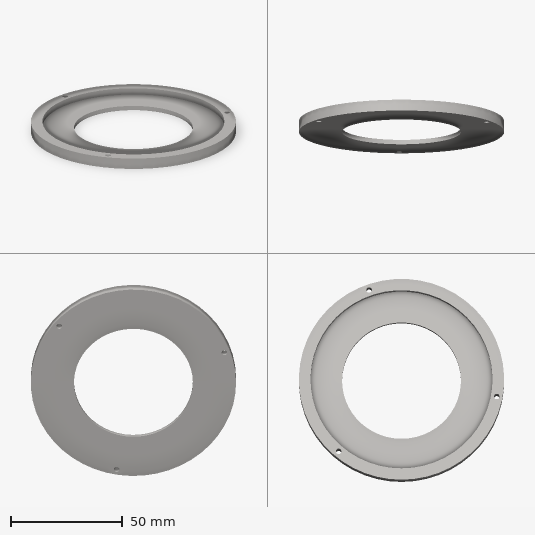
import cadquery as cq

outer_diameter = 92.0
height = 5.0
recess_diameter = 81.6
floor_thickness = 2.0
bore_diameter = 53.3
screw_hole_diameter = 2.5
screw_hole_count = 3
first_hole_angle = -90.0

hole_circle_radius = (outer_diameter + recess_diameter) / 4

ring = (
    cq.Workplane("XY")
    .circle(outer_diameter / 2)
    .circle(bore_diameter / 2)
    .extrude(height)
)

recess = (
    cq.Workplane("XY")
    .workplane(offset=floor_thickness)
    .circle(recess_diameter / 2)
    .extrude(height - floor_thickness)
)

screw_holes = (
    cq.Workplane("XY")
    .polarArray(hole_circle_radius, first_hole_angle, 360, screw_hole_count)
    .circle(screw_hole_diameter / 2)
    .extrude(height)
)

result = ring.cut(recess).cut(screw_holes)